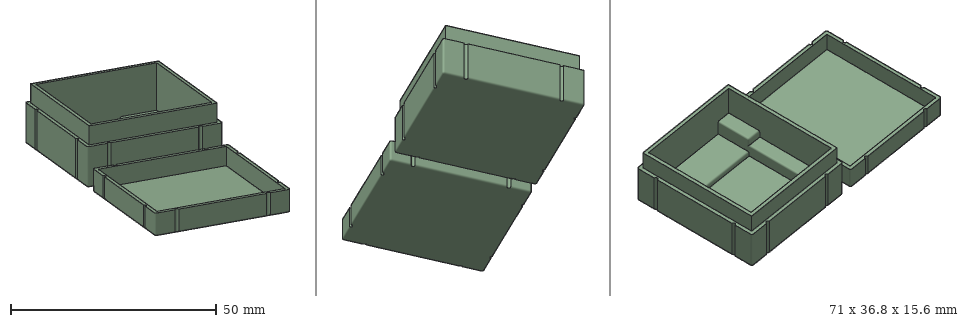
import cadquery as cq

overall_x = 71.0
gap = 3.0
length = (overall_x - gap) / 2
width = 36.8
edge_radius = 0.51

groove_radius = 0.5
groove_inset = 5.95

box_height = 15.6
lip_height = 5.0
shoulder_height = box_height - lip_height
lid_height = 6.0
lid_wall = 1.0
lid_floor = lid_wall
lip_inset = lid_wall

box_wall = 2.0
shelf_x = 28.05
step_y = 24.85
front_floor = 2.0
rear_floor = 3.3
front_shelf_floor = 5.5
rear_shelf_floor = 7.45
step_radius = 0.5


def block(x_min, x_max, y_min, y_max, z_min, z_max):
    """Rectangular block between the given limits."""
    return (
        cq.Workplane("XY")
        .box(x_max - x_min, y_max - y_min, z_max - z_min, centered=False)
        .translate((x_min, y_min, z_min))
    )


def inset_block(inset, z_min, z_max):
    """Rectangular block set in from the footprint on all four sides."""
    return block(inset, length - inset, inset, width - inset, z_min, z_max)


def grooved_shell(height):
    """Rounded outer block with two grip grooves in each side wall."""
    shell = inset_block(0, 0, height).edges("|Z or <Z").fillet(edge_radius)
    along_x = (groove_inset, length - groove_inset)
    along_y = (groove_inset, width - groove_inset)
    centres = [(x, y) for x in along_x for y in (0, width)]
    centres += [(x, y) for x in (0, length) for y in along_y]
    grooves = cq.Workplane("XY").pushPoints(centres).circle(groove_radius).extrude(height)
    return shell.cut(grooves)


def make_rear_step():
    """Raised floor of the rear compartment, rounded along its front edge."""
    step = block(box_wall, shelf_x, step_y, width - box_wall, front_floor, rear_floor)
    return step.edges(">Z and <Y").fillet(step_radius)


def make_front_shelf():
    """Lower shelf along the full depth of the cavity, rounded along its open edge."""
    shelf = block(
        shelf_x, length - box_wall, box_wall, width - box_wall, front_floor, front_shelf_floor
    )
    return shelf.edges(">Z and <X").fillet(step_radius)


def make_rear_shelf():
    """Higher shelf in the rear corner, rounded on its two open sides."""
    shelf = block(
        shelf_x, length - box_wall, step_y, width - box_wall, front_floor, rear_shelf_floor
    )
    return shelf.edges("(>Z and <X) or (>Z and <Y) or (<X and <Y)").fillet(step_radius)


def make_box():
    """Open box with a raised lip and a stepped cavity floor."""
    lip = inset_block(lip_inset, front_floor, box_height)
    cavity = inset_block(box_wall, front_floor, box_height)
    box = grooved_shell(shoulder_height).union(lip).cut(cavity)
    return box.union(make_rear_step()).union(make_front_shelf()).union(make_rear_shelf())


def make_lid():
    """Tray-shaped lid lying open side up beside the box."""
    recess = inset_block(lid_wall, lid_floor, lid_height)
    return grooved_shell(lid_height).cut(recess).translate((length + gap, 0, 0))


box = make_box()
lid = make_lid()

result = cq.Compound.makeCompound([box.val(), lid.val()])